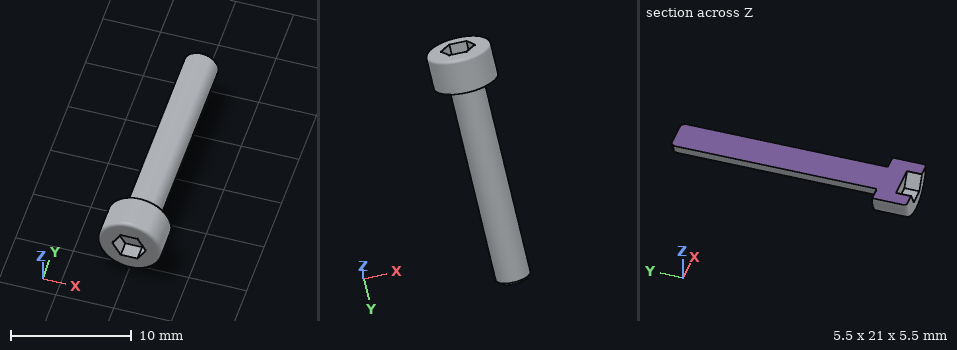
import cadquery as cq
import math

thread_diameter = 3.0
shank_length = 18.0
head_diameter = 5.5
head_height = thread_diameter
head_edge_radius = 0.3
neck_fillet_radius = 0.1
tip_chamfer = 0.3
hex_across_flats = 2.5
hex_depth = 1.3

head_radius = head_diameter / 2
shank_radius = thread_diameter / 2
hex_across_corners = hex_across_flats / math.cos(math.radians(30))


def make_body():
    """Revolve the half profile (radius along X) of head and shank about Y."""
    arc_offset = head_edge_radius * (1 - math.sqrt(0.5))
    neck_offset = neck_fillet_radius * (1 - math.sqrt(0.5))
    profile = (
        cq.Workplane("XY")
        .moveTo(0, -head_height)
        .lineTo(head_radius - head_edge_radius, -head_height)
        .threePointArc(
            (head_radius - arc_offset, -head_height + arc_offset),
            (head_radius, -head_height + head_edge_radius),
        )
        .lineTo(head_radius, 0)
        .lineTo(shank_radius + neck_fillet_radius, 0)
        .threePointArc(
            (shank_radius + neck_offset, neck_offset),
            (shank_radius, neck_fillet_radius),
        )
        .lineTo(shank_radius, shank_length - tip_chamfer)
        .lineTo(shank_radius - tip_chamfer, shank_length)
        .lineTo(0, shank_length)
        .close()
    )
    return profile.revolve(360, (0, 0, 0), (0, 1, 0))


def make_hex_socket():
    """Hexagonal prism sunk into the head face, two corners along X."""
    socket_floor = -head_height + hex_depth
    return (
        cq.Workplane("XZ", origin=(0, socket_floor, 0))
        .polygon(6, hex_across_corners)
        .extrude(hex_depth)
    )


result = make_body().cut(make_hex_socket())